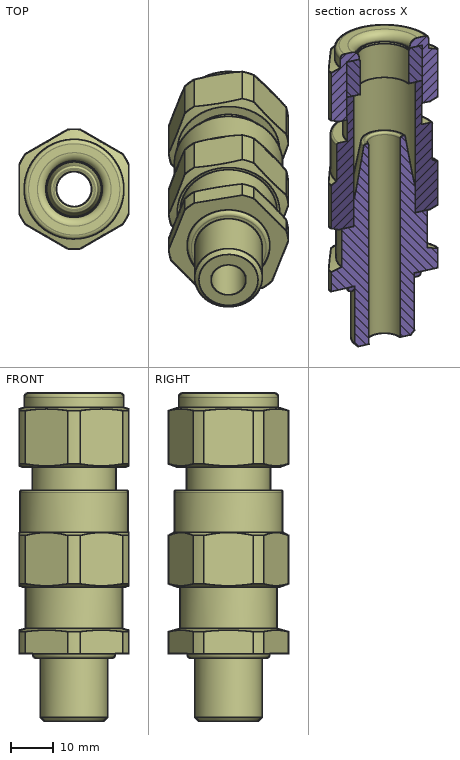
import cadquery as cq


TOTAL_HEIGHT = 77.9
SEAL_TOP = 75.5
CAP_HEX_TOP = 74.5
NECK_TOP = 66.2
CAP_HEX_BOTTOM = 60.3
COLLAR_TOP = 54.85
CONE_TOP = 53
BODY_HEX_TOP = 44.9
SPIGOT_TOP = 38.95
BODY_HEX_BOTTOM = 31.9
ENTRY_HEX_TOP = 22.05
ENTRY_HEX_BOTTOM = 16.05
WASHER_BOTTOM = 14.95

HEX_FLATS = 26.0
HEX_CORNER_RADIUS = 14.25
HEX_BEVEL_HEIGHT = 0.8
HEX_FREE_END_RADIUS = 12.15

CAP_RIM_RADIUS = 11.85
CAP_RIM_FILLET = 1.0
MOUTH_RADIUS = 6.7
MOUTH_FILLET = 2.0

SEAL_BORE_RADIUS = 6.5
SEAL_CHAMFER_WIDTH = 0.2
SEAL_CHAMFER_HEIGHT = 0.4

NECK_RADIUS = 10.0
COLLAR_RADIUS = 12.85
COLLAR_FILLET = 0.5
BODY_BORE_RADIUS = 8.2

ENTRY_RADIUS = 11.5
STUD_RADIUS = 8.0
STUD_CHAMFER = 1.0
CABLE_BORE_RADIUS = 4.1
CONE_TOP_RADIUS = 5.5
CONE_NOSE_FILLET = 0.6

WASHER_RADIUS = 9.8
WASHER_FILLET = 0.9


def cylinder(radius, bottom, top):
    return cq.Workplane("XY").workplane(offset=bottom).circle(radius).extrude(top - bottom)


def beveled_hexagon(bottom, top, upper_radius, lower_radius=None):
    """Hexagon with turned corners and beveled ends; no lower radius leaves that end square."""
    envelope = cq.Workplane("XZ").moveTo(0, bottom)
    if lower_radius is None:
        envelope = envelope.lineTo(HEX_CORNER_RADIUS, bottom)
    else:
        envelope = envelope.lineTo(lower_radius, bottom).lineTo(HEX_CORNER_RADIUS, bottom + HEX_BEVEL_HEIGHT)
    envelope = (
        envelope.lineTo(HEX_CORNER_RADIUS, top - HEX_BEVEL_HEIGHT)
        .lineTo(upper_radius, top)
        .lineTo(0, top)
        .close()
        .revolve(360, (0, 0), (0, 1))
    )
    prism = (
        cq.Workplane("XY")
        .workplane(offset=bottom)
        .polygon(6, HEX_FLATS, circumscribed=True)
        .extrude(top - bottom)
    )
    return prism.intersect(envelope)


def make_cap():
    rim = cylinder(CAP_RIM_RADIUS, CAP_HEX_BOTTOM, TOTAL_HEIGHT).faces(">Z").edges().fillet(CAP_RIM_FILLET)
    hexagon = beveled_hexagon(CAP_HEX_BOTTOM, CAP_HEX_TOP, CAP_RIM_RADIUS, HEX_FREE_END_RADIUS)
    mouth = cylinder(MOUTH_RADIUS, CAP_HEX_BOTTOM, TOTAL_HEIGHT)
    cap = rim.union(hexagon).cut(mouth)
    cap = cap.faces(">Z").edges("%CIRCLE").edges(cq.selectors.RadiusNthSelector(0)).fillet(MOUTH_FILLET)
    return cap.cut(cylinder(NECK_RADIUS, CAP_HEX_BOTTOM, SEAL_TOP))


def make_seal():
    mouth_radius = SEAL_BORE_RADIUS + SEAL_CHAMFER_WIDTH
    return (
        cq.Workplane("XZ")
        .polyline([
            (SEAL_BORE_RADIUS, NECK_TOP),
            (NECK_RADIUS, NECK_TOP),
            (NECK_RADIUS, SEAL_TOP),
            (mouth_radius, SEAL_TOP),
            (SEAL_BORE_RADIUS, SEAL_TOP - SEAL_CHAMFER_HEIGHT),
        ])
        .close()
        .revolve(360, (0, 0), (0, 1))
    )


def make_body():
    collar = cylinder(COLLAR_RADIUS, BODY_HEX_TOP, COLLAR_TOP).faces(">Z").edges().fillet(COLLAR_FILLET)
    hexagon = beveled_hexagon(BODY_HEX_BOTTOM, BODY_HEX_TOP, COLLAR_RADIUS, HEX_FREE_END_RADIUS)
    neck = cylinder(NECK_RADIUS, COLLAR_TOP, NECK_TOP)
    bore = cylinder(BODY_BORE_RADIUS, BODY_HEX_BOTTOM, NECK_TOP)
    return hexagon.union(collar).union(neck).cut(bore)


def make_entry():
    stud = cylinder(STUD_RADIUS, 0, ENTRY_HEX_BOTTOM).faces("<Z").edges().chamfer(STUD_CHAMFER)
    hexagon = beveled_hexagon(ENTRY_HEX_BOTTOM, ENTRY_HEX_TOP, ENTRY_RADIUS)
    barrel = cylinder(ENTRY_RADIUS, ENTRY_HEX_TOP, BODY_HEX_BOTTOM)
    spigot = cylinder(BODY_BORE_RADIUS, BODY_HEX_BOTTOM, SPIGOT_TOP)
    cone = (
        cq.Workplane("XY")
        .workplane(offset=SPIGOT_TOP)
        .circle(BODY_BORE_RADIUS)
        .workplane(offset=CONE_TOP - SPIGOT_TOP)
        .circle(CONE_TOP_RADIUS)
        .loft()
    )
    bore = cylinder(CABLE_BORE_RADIUS, 0, CONE_TOP)
    entry = stud.union(hexagon).union(barrel).union(spigot).union(cone).cut(bore)
    return entry.faces(">Z").edges().fillet(CONE_NOSE_FILLET)


def make_washer():
    disc = cylinder(WASHER_RADIUS, WASHER_BOTTOM, ENTRY_HEX_BOTTOM).faces("<Z").edges().fillet(WASHER_FILLET)
    return disc.cut(cylinder(STUD_RADIUS, WASHER_BOTTOM, ENTRY_HEX_BOTTOM))


cap = make_cap()
seal = make_seal()
body = make_body()
entry = make_entry()
washer = make_washer()

result = cq.Compound.makeCompound([cap.val(), seal.val(), body.val(), entry.val(), washer.val()])